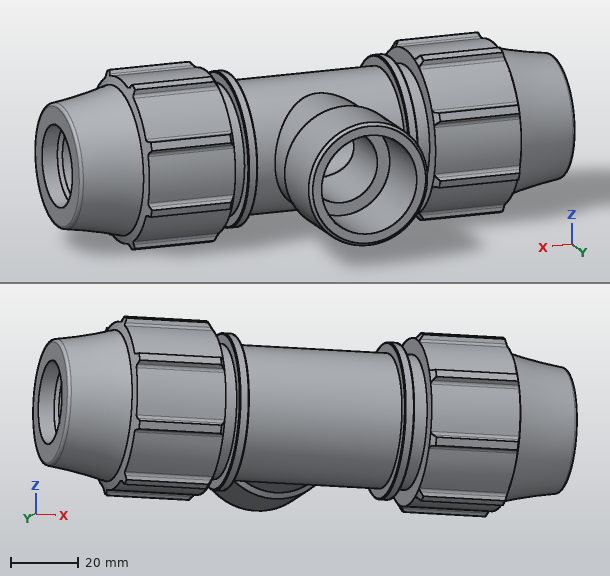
import cadquery as cq
import math

length = 158.0
half_length = length / 2
pipe_diameter = 40.5

ring_diameter = 47.0
ring_width = 3.0
ring_position = 25.6
ring_chamfer = 0.3

nut_diameter = 50.2
nut_start = 18.8
nut_end = 47.1
nose_diameter = 37.9
nose_rounding = 1.0
nose_base_diameter = 45.2
nose_hollow = 0.3

rib_count = 8
rib_height = 27.0
rib_top_width = 2.5
rib_flank_foot_height = 25.8
rib_flank_foot_width = 3.5
rib_root_width = 5.2
rib_front_slope = 1.6
rib_back_slope = 1.5

bore_diameter = 22.5
mouth_diameter = 25.0
mouth_depth = 4.9
mouth_cone_length = 1.1

branch_end = 53.0
stub_diameter = 34.8
socket_diameter = 37.9
socket_length = 22.3
socket_end_chamfer = 1.0
socket_bore_diameter = 30.3


def rod(diameter, start, end):
    """Cylinder along X between two X positions."""
    return cq.Workplane("YZ").workplane(offset=start).circle(diameter / 2).extrude(end - start)


def branch_rod(diameter, start, end):
    """Cylinder along Y between two Y positions."""
    return cq.Workplane("XZ").workplane(offset=-start).circle(diameter / 2).extrude(start - end)


def nut_envelope():
    """Turned shape at the -X end: rounded lip, flared nose and the slopes that end the ribs."""
    nose_radius = nose_diameter / 2
    nose_base_radius = nose_base_diameter / 2
    rib_tip_radius = math.hypot(rib_height, rib_top_width / 2)
    rounding_inset = nose_rounding * (1 - math.sqrt(0.5))
    flare_middle = (
        (nose_rounding + nut_start) / 2,
        (nose_radius + nose_base_radius) / 2 - nose_hollow,
    )
    return (
        cq.Workplane("XY")
        .lineTo(0, nose_radius - nose_rounding)
        .threePointArc((rounding_inset, nose_radius - rounding_inset), (nose_rounding, nose_radius))
        .threePointArc(flare_middle, (nut_start, nose_base_radius))
        .lineTo(nut_start + rib_front_slope, rib_tip_radius)
        .lineTo(nut_end - rib_back_slope, rib_tip_radius)
        .lineTo(nut_end, nut_diameter / 2)
        .lineTo(nut_end, 0)
        .close()
        .revolve(360, (0, 0, 0), (1, 0, 0))
        .translate((-half_length, 0, 0))
    )


def grip_rib():
    """Rib standing up along Z at the -X end, with sloped flanks and filleted roots."""
    root_half_width = rib_root_width / 2
    root_height = math.sqrt((nut_diameter / 2) ** 2 - root_half_width**2)
    half_rib = (
        cq.Workplane("YZ")
        .workplane(offset=-half_length)
        .lineTo(0, rib_height)
        .lineTo(rib_top_width / 2, rib_height)
        .lineTo(rib_flank_foot_width / 2, rib_flank_foot_height)
        .tangentArcPoint((root_half_width, root_height), relative=False)
        .lineTo(root_half_width, 0)
        .close()
        .extrude(nut_end)
    )
    return half_rib.union(half_rib.mirror("XZ"))


def nut():
    """Compression nut at the -X end, with a gap between ribs centred on +Z."""
    blank = rod(nut_diameter, -half_length, nut_end - half_length)
    rib = grip_rib()
    rib_pitch = 360 / rib_count
    for i in range(rib_count):
        blank = blank.union(rib.rotate((0, 0, 0), (1, 0, 0), (i + 0.5) * rib_pitch))
    return blank.intersect(nut_envelope())


def collar_ring():
    """Collar ring on the -X half of the run."""
    ring = rod(ring_diameter, -ring_position - ring_width / 2, -ring_position + ring_width / 2)
    return ring.edges().chamfer(ring_chamfer)


def branch():
    """Branch stub and socket, turned about Y; a 45 degree shoulder joins the two."""
    stub_radius = stub_diameter / 2
    socket_radius = socket_diameter / 2
    socket_start = branch_end - socket_length
    shoulder = socket_radius - stub_radius
    return (
        cq.Workplane("XY")
        .lineTo(stub_radius, 0)
        .lineTo(stub_radius, socket_start)
        .lineTo(socket_radius, socket_start + shoulder)
        .lineTo(socket_radius, branch_end - socket_end_chamfer)
        .lineTo(socket_radius - socket_end_chamfer, branch_end)
        .lineTo(0, branch_end)
        .close()
        .revolve(360, (0, 0, 0), (0, 1, 0))
    )


def bore_mouth():
    """Wider mouth of the bore at the -X end, narrowing through a cone to the bore."""
    mouth_radius = mouth_diameter / 2
    cone_end = mouth_depth + mouth_cone_length
    return (
        cq.Workplane("XY")
        .lineTo(0, mouth_radius)
        .lineTo(mouth_depth, mouth_radius)
        .lineTo(cone_end, bore_diameter / 2)
        .lineTo(cone_end, 0)
        .close()
        .revolve(360, (0, 0, 0), (1, 0, 0))
        .translate((-half_length, 0, 0))
    )


result = rod(pipe_diameter, nut_end - half_length, half_length - nut_end)
for feature in (nut(), collar_ring()):
    result = result.union(feature).union(feature.mirror("YZ"))
result = result.union(branch())

mouth = bore_mouth()
result = result.cut(rod(bore_diameter, -half_length, half_length))
result = result.cut(mouth).cut(mouth.mirror("YZ"))
result = result.cut(branch_rod(bore_diameter, 0, branch_end))
result = result.cut(branch_rod(socket_bore_diameter, branch_end - socket_length, branch_end))